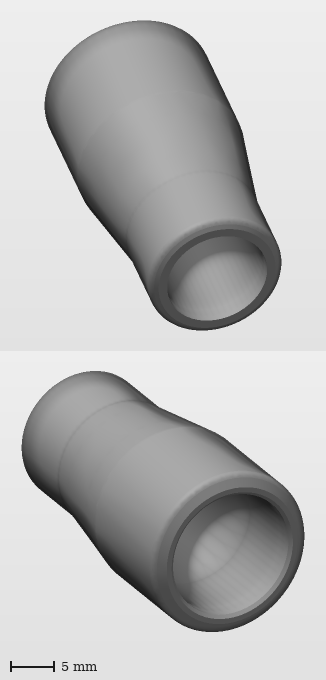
import cadquery as cq
import math

length = 38.0
large_end_x = 15.0
small_start_x = 28.0

large_radius = 20.0 / 2
small_radius = 16.0 / 2
large_face_radius = 8.5
small_face_radius = 7.03
bevel_angle = math.radians(60)
rim_fillet = 1.0
large_blend = 2.0
small_blend = 1.0

large_bore_radius = 15.0 / 2
small_bore_radius = 12.0 / 2
bore_taper_start_x = 10.0
bore_taper_end_x = 20.0
mouth_chamfer = 0.38


def bevel_length(barrel_radius, face_radius):
    """Axial length of the sharp bevel between an end face and a barrel."""
    return (barrel_radius - face_radius) / math.tan(bevel_angle)


def revolve_about_x(points):
    return cq.Workplane("XY").polyline(points).close().revolve(360, (0, 0, 0), (1, 0, 0))


def round_edge_at(body, x, radius):
    """Fillet the circular edge lying in the plane at x."""
    half_window = 0.005
    edge = cq.selectors.BoxSelector(
        (x - half_window, -length, -length),
        (x + half_window, length, length),
        boundingbox=True,
    )
    return body.edges(edge).fillet(radius)


def make_outer_body():
    large_bevel_x = bevel_length(large_radius, large_face_radius)
    small_bevel_x = length - bevel_length(small_radius, small_face_radius)
    body = revolve_about_x([
        (0, 0),
        (0, large_face_radius),
        (large_bevel_x, large_radius),
        (large_end_x, large_radius),
        (small_start_x, small_radius),
        (small_bevel_x, small_radius),
        (length, small_face_radius),
        (length, 0),
    ])
    body = round_edge_at(body, large_bevel_x, rim_fillet)
    body = round_edge_at(body, small_bevel_x, rim_fillet)
    body = round_edge_at(body, large_end_x, large_blend)
    return round_edge_at(body, small_start_x, small_blend)


def make_bore():
    return revolve_about_x([
        (0, 0),
        (0, large_bore_radius + mouth_chamfer),
        (mouth_chamfer, large_bore_radius),
        (bore_taper_start_x, large_bore_radius),
        (bore_taper_end_x, small_bore_radius),
        (length, small_bore_radius),
        (length, 0),
    ])


result = make_outer_body().cut(make_bore())